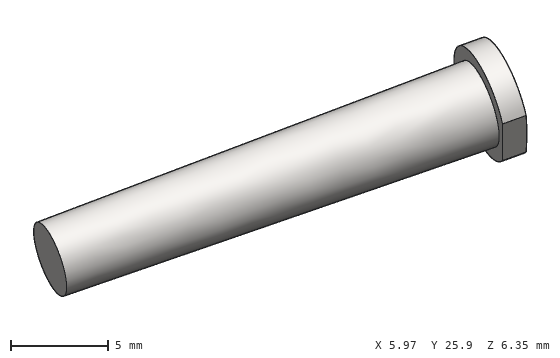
import cadquery as cq
import math

TOTAL_LENGTH = 25.91
HEAD_DIAMETER = 6.35
WIDTH_ACROSS_FLAT = 5.97

HEAD_THICKNESS = 1.52
DOME_HEIGHT = 0.18

SHANK_BASE_DIAMETER = 4.75
SHANK_TIP_DIAMETER = 4.06

head_radius = HEAD_DIAMETER / 2
shank_length = TOTAL_LENGTH - HEAD_THICKNESS
rim_y = HEAD_THICKNESS - DOME_HEIGHT
flat_x = WIDTH_ACROSS_FLAT - head_radius
dome_radius = (head_radius**2 + DOME_HEIGHT**2) / (2 * DOME_HEIGHT)


def dome_y(radius):
    """Y of the domed back face at a distance from the pin axis."""
    dome_center_y = HEAD_THICKNESS - dome_radius
    return dome_center_y + math.sqrt(dome_radius**2 - radius**2)


def revolved_pin():
    """Revolve the half profile of shank and domed head about the Y axis."""
    mid_radius = head_radius / 2
    return (
        cq.Workplane("YZ")
        .moveTo(-shank_length, 0)
        .lineTo(-shank_length, SHANK_TIP_DIAMETER / 2)
        .lineTo(0, SHANK_BASE_DIAMETER / 2)
        .lineTo(0, head_radius)
        .lineTo(rim_y, head_radius)
        .threePointArc((dome_y(mid_radius), mid_radius), (HEAD_THICKNESS, 0))
        .close()
        .revolve(360, (0, 0, 0), (1, 0, 0))
    )


def flat_cutter():
    """Block that removes the +X side of the head beyond the flat."""
    block = cq.Workplane("XY").box(
        head_radius, HEAD_THICKNESS, HEAD_DIAMETER, centered=(False, False, True)
    )
    return block.translate((flat_x, 0, 0))


result = revolved_pin().cut(flat_cutter())